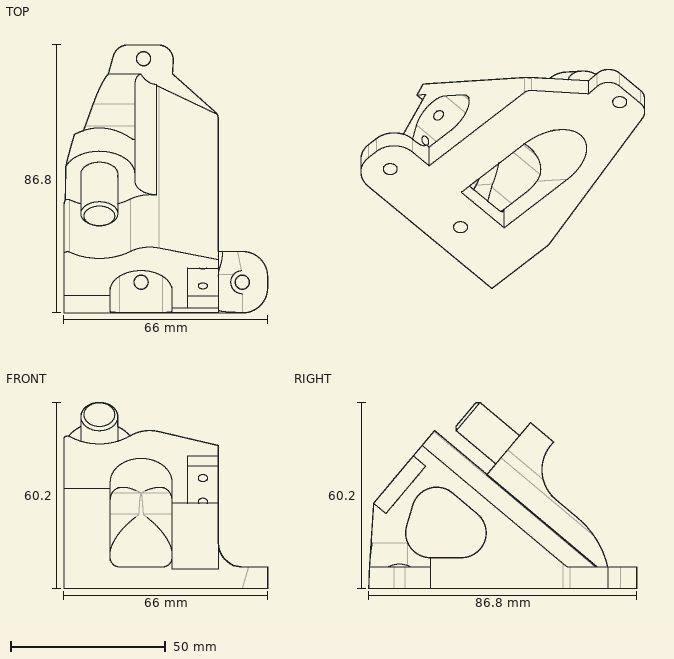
import cadquery as cq
import math

TILT = 50.0
COS_TILT = math.cos(math.radians(TILT))
SIN_TILT = math.sin(math.radians(TILT))

BODY_WIDTH = 50.0
OVERALL_WIDTH = 66.0
OVERALL_LENGTH = 86.8
PLATE_THICKNESS = 7.0
SCREW_DIAMETER = 4.5
SIDE_TAB_LENGTH = 20.0
SIDE_TAB_CORNER = 8.25
SIDE_TAB_HOLE_X = OVERALL_WIDTH - SIDE_TAB_CORNER
SIDE_TAB_CLEARANCE_DIAMETER = 7.5
REAR_TAB_RIGHT_X = 35.8
REAR_TAB_ROOT_X = 35.2
REAR_TAB_ROOT_Y = 77.4
REAR_TAB_CORNER = 5.0
REAR_TAB_HOLE = (25.8, 82.3)
REAR_CORNER_Y = 64.2
REAR_CORNER_RADIUS = 3.0
WEB_RADIUS = SIDE_TAB_HOLE_X - BODY_WIDTH
WEB_REAR_REACH = 6.2
WEB_TAPER_Y = 12.5

FRONT_ARC_RADIUS = 96.0
PAD_LEFT_X = 35.0
PAD_TOP = (1.6, 27.6)
PAD_BOTTOM = (0.2, 6.3)
PAD_DEPTH = 12.0
FACE_REACH = PAD_TOP[1] * COS_TILT - PAD_TOP[0] * SIN_TILT

PIN_X = 11.5
PIN_RISE = 63.3
PIN_DIAMETER = 12.0
PIN_CHAMFER = 1.0
PIN_END_REACH = 12.1
PIN_ROOT_DEPTH = 3.0
EAR_RADIUS = 11.5
EAR_REACH = -5.6
CRADLE_RADIUS = 16.1
LIP_RADIUS = 1.2
CREST_RADIUS = 10.0
CREST_X = 27.8
TOP_SLOPE = 17.0
TROUGH_RADIUS = 7.0

DECK_RISE = 61.0
DECK_ARC_START_Y = 67.6
DECK_ARC_RADIUS = 29.5
EAR_RELIEF_RADIUS = 12.5
EAR_RELIEF_Y = 68.6

SIDE_SECTIONS = [(PLATE_THICKNESS, 25.5, 0.277), (15.0, 27.0, 0.26), (30.0, 32.2, 0.238), (45.0, 43.3, 0.25)]

EAR_SIDE_X = 0.6
EAR_SIDE_TAPER = 0.283
EAR_SIDE_DEPTH = 25.0

CROSS_RADIUS = 8.0
CROSS_CENTERS = [(20.0, 18.0), (30.0, 18.0), (22.0, 24.75)]
BORE_RADIUS = 10.0
BORE_X = 25.0
BORE_RISE = 31.1
BORE_FLOOR_FILLET = 3.0
BORE_SCREW_Y = 10.0
BORE_FLOOR_LENGTH = 20.0
NOTCH_WIDTH = 10.0
NOTCH_LENGTH = 20.0
NOTCH_DEPTH = 5.2
NOTCH_HOLE_DIAMETER = 3.0
NOTCH_HOLE_PITCH = 10.0
NOTCH_HOLE_DEPTH = 10.0

FAR = 120.0


def tilted(reach):
    """Workplane on the tilted frame at a given reach."""
    plane = cq.Plane(origin=(0, 0, 0), xDir=(1, 0, 0), normal=(0, -SIN_TILT, COS_TILT))
    return cq.Workplane(plane).workplane(offset=reach)


def rise_of(y, z):
    return y * COS_TILT + z * SIN_TILT


def deck_height(y, rise=DECK_RISE):
    """Height of a surface of constant rise at a given Y; the deck unless told otherwise."""
    return (rise - y * COS_TILT) / SIN_TILT


def circle_point(center, radius, angle):
    turn = math.radians(angle)
    return (center[0] + radius * math.cos(turn), center[1] + radius * math.sin(turn))


def prism_x(outline, start, length):
    """Extrude a closed YZ outline along X."""
    return outline.extrude(length).translate((start, 0, 0))


def rise_beside_cradle(x, radius):
    """Rise of the center of a circle that touches the cradle circle from outside."""
    return PIN_RISE - math.sqrt((CRADLE_RADIUS + radius) ** 2 - (x - PIN_X) ** 2)


def touch_point(x, radius):
    """Point where a circle set beside the cradle touches the cradle circle."""
    angle = math.degrees(math.atan2(rise_beside_cradle(x, radius) - PIN_RISE, x - PIN_X))
    return circle_point((PIN_X, PIN_RISE), CRADLE_RADIUS, angle)


CREST_RISE = rise_beside_cradle(CREST_X, CREST_RADIUS)
CREST_TOP = CREST_RISE + CREST_RADIUS


def round_rear_corner(prism, height):
    """Round the upright edge at the right rear corner of the body."""
    corner = cq.selectors.NearestToPointSelector((BODY_WIDTH, REAR_CORNER_Y, height / 2))
    return prism.edges(corner).fillet(REAR_CORNER_RADIUS)


def make_plate():
    _, side_start_y, side_gain = SIDE_SECTIONS[0]
    rear_left_x = side_gain * (OVERALL_LENGTH - side_start_y)
    plate = (
        cq.Workplane("XY")
        .moveTo(0, 0)
        .lineTo(OVERALL_WIDTH, 0)
        .lineTo(OVERALL_WIDTH, SIDE_TAB_LENGTH)
        .lineTo(BODY_WIDTH, SIDE_TAB_LENGTH)
        .lineTo(BODY_WIDTH, REAR_CORNER_Y)
        .lineTo(REAR_TAB_ROOT_X, REAR_TAB_ROOT_Y)
        .lineTo(REAR_TAB_RIGHT_X, OVERALL_LENGTH)
        .lineTo(rear_left_x, OVERALL_LENGTH)
        .lineTo(0, side_start_y)
        .close()
        .extrude(PLATE_THICKNESS)
    )
    plate = plate.edges("|Z and >X").fillet(SIDE_TAB_CORNER)
    plate = plate.edges("|Z and >Y").fillet(REAR_TAB_CORNER)
    return round_rear_corner(plate, PLATE_THICKNESS)


def make_block():
    """Profile with the pin cradle along its top, extruded along the tilted normal."""
    crest = (CREST_X, CREST_RISE)
    lip_rise = rise_beside_cradle(LIP_RADIUS, LIP_RADIUS)
    slope_start = circle_point(crest, CREST_RADIUS, 90 - TOP_SLOPE)
    slope_drop = (BODY_WIDTH - slope_start[0]) * math.tan(math.radians(TOP_SLOPE))
    return (
        tilted(-FAR)
        .moveTo(0, 0)
        .lineTo(0, lip_rise)
        .threePointArc((LIP_RADIUS, lip_rise + LIP_RADIUS), touch_point(LIP_RADIUS, LIP_RADIUS))
        .threePointArc((PIN_X, PIN_RISE - CRADLE_RADIUS), touch_point(CREST_X, CREST_RADIUS))
        .threePointArc((CREST_X, CREST_TOP), slope_start)
        .lineTo(BODY_WIDTH, slope_start[1] - slope_drop)
        .lineTo(BODY_WIDTH, 0)
        .close()
        .extrude(FAR + FACE_REACH)
    )


def make_ear():
    """Round-topped ear with a concave foot that lands on the crest."""
    right = PIN_X + EAR_RADIUS
    trough = (right + TROUGH_RADIUS, CREST_TOP + TROUGH_RADIUS)
    return (
        tilted(-FAR)
        .moveTo(0, 0)
        .lineTo(PIN_X - EAR_RADIUS, PIN_RISE)
        .threePointArc((PIN_X, PIN_RISE + EAR_RADIUS), (right, PIN_RISE))
        .lineTo(right, trough[1])
        .threePointArc(circle_point(trough, TROUGH_RADIUS, 225), (trough[0], CREST_TOP))
        .lineTo(trough[0], 0)
        .close()
        .extrude(FAR + EAR_REACH)
    )


def make_rear_cutter():
    """Everything above the rear deck: relief behind the ear, flat deck, then a round drop to the plate."""
    relief = (EAR_RELIEF_Y, deck_height(EAR_RELIEF_Y, DECK_RISE + EAR_RELIEF_RADIUS))
    relief_end = circle_point(relief, EAR_RELIEF_RADIUS, 180 + TILT)
    arc_start = (DECK_ARC_START_Y, deck_height(DECK_ARC_START_Y))
    arc_center = (arc_start[0] - DECK_ARC_RADIUS * COS_TILT, arc_start[1] - DECK_ARC_RADIUS * SIN_TILT)
    arc_end_angle = math.degrees(math.asin((PLATE_THICKNESS - arc_center[1]) / DECK_ARC_RADIUS))
    arc_end = circle_point(arc_center, DECK_ARC_RADIUS, arc_end_angle)
    outline = (
        cq.Workplane("YZ")
        .moveTo(*circle_point(relief, EAR_RELIEF_RADIUS, TILT))
        .threePointArc(circle_point(relief, EAR_RELIEF_RADIUS, 180), relief_end)
        .lineTo(*arc_start)
        .threePointArc(circle_point(arc_center, DECK_ARC_RADIUS, (TILT + arc_end_angle) / 2), arc_end)
        .lineTo(FAR, PLATE_THICKNESS)
        .lineTo(FAR, FAR)
        .close()
    )
    return prism_x(outline, -FAR, 2 * FAR)


def make_envelope():
    """Plan of the upright body, standing on the plate."""
    prism = (
        cq.Workplane("XY", origin=(0, 0, PLATE_THICKNESS))
        .moveTo(0, 0)
        .lineTo(BODY_WIDTH, 0)
        .lineTo(BODY_WIDTH, REAR_CORNER_Y)
        .lineTo(REAR_TAB_ROOT_X, REAR_TAB_ROOT_Y)
        .lineTo(0, REAR_TAB_ROOT_Y)
        .close()
        .extrude(FAR)
    )
    return round_rear_corner(prism, FAR)


def make_side_cutter():
    """Loft through plan triangles that leans the left side outward with height."""
    margin = 2.0
    rear = OVERALL_LENGTH + margin
    wires = []
    for height, start_y, gain in SIDE_SECTIONS:
        points = [
            (-margin, start_y - margin / gain, height),
            (gain * (rear - start_y), rear, height),
            (-margin, rear, height),
        ]
        wires.append(cq.Wire.makePolygon([cq.Vector(*p) for p in points], close=True))
    below_deck = (
        tilted(-FAR)
        .moveTo(-FAR, DECK_RISE - 2 * FAR)
        .rect(2 * FAR, 2 * FAR, centered=False)
        .extrude(2 * FAR)
    )
    return cq.Workplane(cq.Solid.makeLoft(wires)).intersect(below_deck)


def make_ear_side_cutter():
    """Wedge above the deck that flattens the left side of the ear, tapering away from its face."""
    height = 2 * EAR_RADIUS
    outside_x = -1.0
    back_reach = EAR_REACH - EAR_SIDE_DEPTH
    back_x = EAR_SIDE_X + EAR_SIDE_TAPER * EAR_SIDE_DEPTH
    outline = [(outside_x, EAR_REACH), (EAR_SIDE_X, EAR_REACH), (back_x, back_reach), (outside_x, back_reach)]
    plane = cq.Plane(
        origin=(0, DECK_RISE * COS_TILT, DECK_RISE * SIN_TILT),
        xDir=(1, 0, 0),
        normal=(0, -COS_TILT, -SIN_TILT),
    )
    return cq.Workplane(plane).polyline(outline).close().extrude(-height)


def make_front_envelope():
    """Front skin: a large arc that is upright at the ground."""
    center = (FRONT_ARC_RADIUS, 0)
    sweep = 40.0
    top_y, top_z = circle_point(center, FRONT_ARC_RADIUS, 180 - sweep)
    outline = (
        cq.Workplane("YZ")
        .moveTo(0, 0)
        .threePointArc(circle_point(center, FRONT_ARC_RADIUS, 180 - sweep / 2), (top_y, top_z))
        .lineTo(FAR, top_z)
        .lineTo(FAR, 0)
        .close()
    )
    return prism_x(outline, -FAR, 2 * FAR)


def make_pad():
    """Proud pad on the right of the front face."""
    back_y = PAD_TOP[0] + PAD_DEPTH
    outline = (
        cq.Workplane("YZ")
        .moveTo(*PAD_BOTTOM)
        .lineTo(*PAD_TOP)
        .lineTo(back_y, PAD_TOP[1] + PAD_DEPTH * math.tan(math.radians(TILT)))
        .lineTo(back_y, PAD_BOTTOM[1])
        .close()
    )
    return prism_x(outline, PAD_LEFT_X, BODY_WIDTH - PAD_LEFT_X)


def web_section(y, reach):
    """Concave quarter section across the corner of the wall and the tab."""
    corner = (BODY_WIDTH, PLATE_THICKNESS)
    inset = 1 - math.sqrt(0.5)
    middle = (corner[0] + reach * inset, corner[1] + WEB_RADIUS * inset)
    top = (corner[0], corner[1] + WEB_RADIUS)
    return (
        cq.Workplane("XZ", origin=(0, y, 0))
        .moveTo(*corner)
        .lineTo(corner[0] + reach, corner[1])
        .spline([middle, top], tangents=[(-1, 0), (0, 1)], includeCurrent=True)
        .close()
        .wires()
        .val()
    )


def make_web():
    """Concave web joining the side tab to the body; its reach narrows toward the rear."""
    front = web_section(0, WEB_RADIUS)
    middle = web_section(WEB_TAPER_Y, WEB_RADIUS)
    rear = web_section(SIDE_TAB_LENGTH, WEB_REAR_REACH)
    straight = cq.Workplane(cq.Solid.makeLoft([front, middle], True))
    web = straight.union(cq.Workplane(cq.Solid.makeLoft([middle, rear], True)))
    clearance = (
        cq.Workplane("XY", origin=(SIDE_TAB_HOLE_X, SIDE_TAB_LENGTH / 2, PLATE_THICKNESS))
        .circle(SIDE_TAB_CLEARANCE_DIAMETER / 2)
        .extrude(FAR)
    )
    return web.cut(clearance)


def make_pin():
    return (
        tilted(EAR_REACH - PIN_ROOT_DEPTH)
        .center(PIN_X, PIN_RISE)
        .circle(PIN_DIAMETER / 2)
        .extrude(PIN_END_REACH - EAR_REACH + PIN_ROOT_DEPTH)
        .faces(cq.selectors.DirectionMinMaxSelector(cq.Vector(0, -SIN_TILT, COS_TILT), True))
        .chamfer(PIN_CHAMFER)
    )


def make_cross_opening():
    """Rounded triangular opening right through the body along X."""
    outline = cq.Workplane("YZ").polyline(CROSS_CENTERS).close().offset2D(CROSS_RADIUS)
    return prism_x(outline, -FAR, 2 * FAR)


def make_bore():
    """Round-roofed opening along the tilted normal, with a level filleted floor at the front.

    Behind the floor it runs out through the underside.
    """
    roof = (
        tilted(-FAR)
        .moveTo(BORE_X - BORE_RADIUS, -FAR)
        .lineTo(BORE_X - BORE_RADIUS, BORE_RISE)
        .threePointArc((BORE_X, BORE_RISE + BORE_RADIUS), (BORE_X + BORE_RADIUS, BORE_RISE))
        .lineTo(BORE_X + BORE_RADIUS, -FAR)
        .close()
        .extrude(2 * FAR)
    )
    left = BORE_X - BORE_RADIUS
    front_room = (
        cq.Workplane("XY", origin=(left, -FAR, PLATE_THICKNESS))
        .rect(2 * BORE_RADIUS, FAR + BORE_FLOOR_LENGTH, centered=False)
        .extrude(FAR)
        .edges("|Y and <Z")
        .fillet(BORE_FLOOR_FILLET)
    )
    rear_room = (
        cq.Workplane("XY", origin=(left, BORE_FLOOR_LENGTH, 0))
        .rect(2 * BORE_RADIUS, FAR, centered=False)
        .extrude(FAR)
    )
    return roof.intersect(front_room.union(rear_room))


def make_notch():
    """Step in the tilted face, open to the right, with two holes in its floor."""
    floor = FACE_REACH - NOTCH_DEPTH
    start_rise = rise_of(*PAD_TOP)
    left = BODY_WIDTH - NOTCH_WIDTH
    notch = (
        tilted(floor)
        .moveTo(left, start_rise)
        .rect(2 * NOTCH_WIDTH, NOTCH_LENGTH, centered=False)
        .extrude(FAR)
    )
    holes = (
        tilted(floor)
        .center(left + NOTCH_WIDTH / 2, start_rise + NOTCH_LENGTH / 2)
        .rarray(1, NOTCH_HOLE_PITCH, 1, 2)
        .circle(NOTCH_HOLE_DIAMETER / 2)
        .extrude(-NOTCH_HOLE_DEPTH)
    )
    return notch.union(holes)


def make_screw_holes():
    centers = [(SIDE_TAB_HOLE_X, SIDE_TAB_LENGTH / 2), REAR_TAB_HOLE, (BORE_X, BORE_SCREW_Y)]
    return cq.Workplane("XY").pushPoints(centers).circle(SCREW_DIAMETER / 2).extrude(PLATE_THICKNESS)


body = make_block().union(make_ear()).intersect(make_envelope())
body = body.cut(make_rear_cutter()).cut(make_side_cutter()).cut(make_ear_side_cutter())
body = body.union(make_plate()).union(make_web())
body = body.intersect(make_front_envelope()).union(make_pad())
body = body.union(make_pin())
for opening in (make_cross_opening(), make_bore(), make_notch(), make_screw_holes()):
    body = body.cut(opening)
result = body